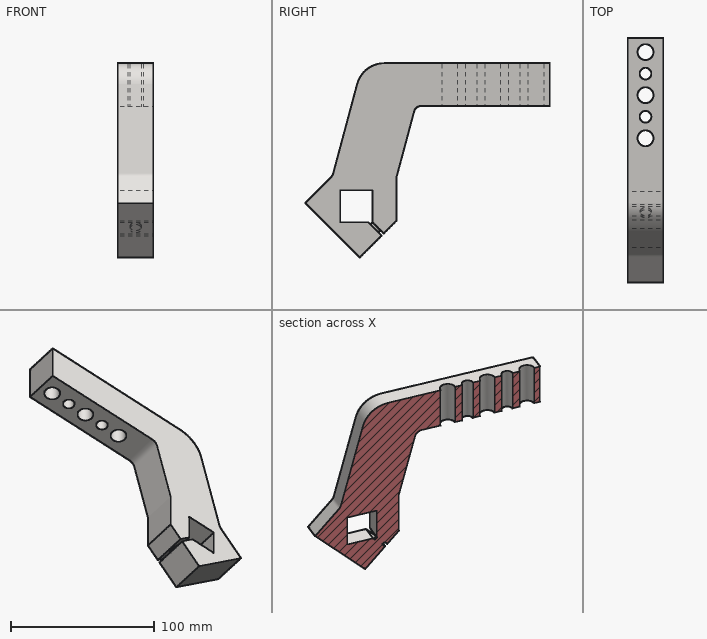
import cadquery as cq
import math

width = 25.0
length = 171.0
height = 136.0

arm_thickness = 30.1
leg_tilt = math.radians(15)
outer_bend_radius = 20.0
inner_bend_radius = 5.0
outer_bend_start = 55.6

nose_rise = 38.1
back_face = 64.0
back_face_top = 56.3
nose_fillet_radius = 6.0

bore_side = 22.2
bore_center = (35.84, 36.0)
slit_width = 2.0
slit_length = 17.1
slit_overlap = 3.5
pin_diameter = 8.0
pin_offset = 4.1

large_hole = 11.0
small_hole = 8.0
hole_diameters = [large_hole, small_hole, large_hole, small_hole, large_hole]
first_hole_inset = 10.0
hole_pitch = 15.0


def make_body():
    """Extrude the arm and head outline across the width, then round its bends."""
    slope = math.tan(leg_tilt)
    arm_bottom = height - arm_thickness
    inner_corner = (back_face + (arm_bottom - back_face_top) * slope, arm_bottom)
    bend_tangent = outer_bend_radius * math.tan((math.pi / 2 - leg_tilt) / 2)
    outer_corner = (outer_bend_start - bend_tangent, height)
    notch_y = (outer_corner[0] - (height - nose_rise) * slope) / (1 - slope)
    notch = (notch_y, nose_rise + notch_y)
    outline = [
        (0, nose_rise),
        (nose_rise, 0),
        (back_face, back_face - nose_rise),
        (back_face, back_face_top),
        inner_corner,
        (length, arm_bottom),
        (length, height),
        outer_corner,
        notch,
    ]
    body = cq.Workplane("YZ").polyline(outline).close().extrude(width / 2, both=True)
    for corner, radius in (
        (inner_corner, inner_bend_radius),
        (outer_corner, outer_bend_radius),
        (notch, nose_fillet_radius),
    ):
        edge = cq.selectors.NearestToPointSelector((0, *corner))
        body = body.edges(edge).fillet(radius)
    return body


def make_bore():
    return cq.Workplane("YZ").center(*bore_center).rect(bore_side, bore_side).extrude(width, both=True)


def slit_plane():
    """Plane at the lower back bore corner: x runs out along the slit, normal crosses it."""
    corner_y = bore_center[0] + bore_side / 2
    corner_z = bore_center[1] - bore_side / 2
    return cq.Plane(origin=(0, corner_y, corner_z), xDir=(0, 1, -1), normal=(0, -1, -1))


def make_slit():
    """Slit from the bore corner outward, started inside the bore to open it fully."""
    slit = cq.Workplane(slit_plane()).center(-slit_overlap, 0)
    slit = slit.rect(slit_length, 2 * width, centered=(False, True))
    return slit.extrude(slit_width)


def make_pin():
    """Round pin that bridges the slit at mid-width."""
    return cq.Workplane(slit_plane()).center(pin_offset, 0).circle(pin_diameter / 2).extrude(slit_width)


def make_arm_holes():
    holes = cq.Workplane("XY")
    for index, diameter in enumerate(hole_diameters):
        hole_y = length - first_hole_inset - index * hole_pitch
        hole = cq.Workplane("XY").center(0, hole_y).circle(diameter / 2).extrude(height)
        holes = holes.add(hole)
    return holes.combine()


result = make_body().cut(make_bore()).cut(make_slit()).union(make_pin()).cut(make_arm_holes())